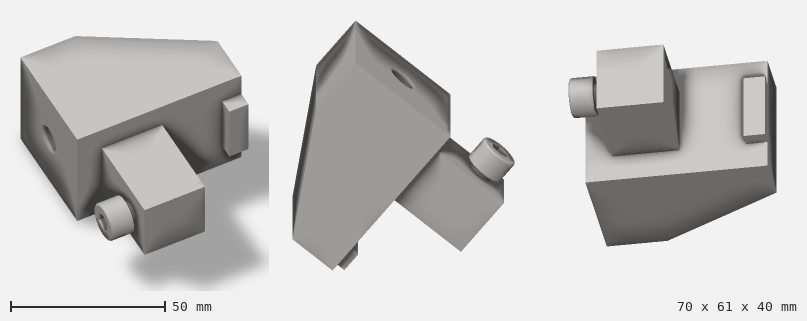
import cadquery as cq
import math

block_width = 40.0
block_length = 1.5 * block_width
block_height = block_width
straight_side_length = block_width / 2
slope_angle = 30.0
slope_inset = (block_length - straight_side_length) * math.tan(math.radians(slope_angle))
mid_height = block_height / 2

overall_width = 70.0
arm_length = overall_width - block_width
arm_section = 22.0
arm_setback = 9.0
tab_reach = 5.0
tab_depth = 7.0
tab_height = arm_section

hole_diameter = 8.5
hole_mouth_diameter = 10.0
hole_mouth_depth = 0.4
hole_depth = 20.0
drill_point_angle = 118.0

screw_x = overall_width - 10.0
shank_diameter = 8.0
head_diameter = 13.0
head_height = shank_diameter
head_gap = 2.0
head_edge_radius = 0.8
shank_length = head_gap + arm_section
seat_y = arm_setback - head_gap
socket_flats = 6.0
socket_corners = socket_flats / math.cos(math.radians(30))
socket_depth = 4.0
socket_point_angle = 120.0


def cone_height(diameter, point_angle):
    """Height of a cone with the given base diameter and full point angle."""
    return diameter / 2 / math.tan(math.radians(point_angle / 2))


def revolved_along_y(profile, x, y):
    """Revolve (radius, depth) points about a line along +Y at (x, y), at mid height."""
    return (
        cq.Workplane("XY")
        .polyline(profile)
        .close()
        .revolve(360, (0, 0), (0, 1))
        .translate((x, y, mid_height))
    )


def make_shank():
    """Plain shank from the screw head to the back of the arm."""
    profile = [
        (0, 0),
        (shank_diameter / 2, 0),
        (shank_diameter / 2, shank_length),
        (0, shank_length),
    ]
    return revolved_along_y(profile, screw_x, seat_y)


def make_drilled_hole():
    """Cutter with a chamfered mouth and a conical bottom."""
    radius = hole_diameter / 2
    profile = [
        (0, 0),
        (hole_mouth_diameter / 2, 0),
        (radius, hole_mouth_depth),
        (radius, hole_depth),
        (0, hole_depth + cone_height(hole_diameter, drill_point_angle)),
    ]
    return revolved_along_y(profile, block_width / 2, 0)


def make_side_box(reach, depth, height, y):
    """Box on the +X side of the block, centred at mid height."""
    return (
        cq.Workplane("XY")
        .box(reach, depth, height, centered=(False, False, True))
        .translate((block_width, y, mid_height))
    )


def make_bracket():
    """Sloped block with its arm and tab, drilled hole and screw hole."""
    outline = [
        (0, 0),
        (block_width, 0),
        (block_width, block_length),
        (slope_inset, block_length),
        (0, straight_side_length),
    ]
    block = cq.Workplane("XY").polyline(outline).close().extrude(block_height)
    arm = make_side_box(arm_length, arm_section, arm_section, arm_setback)
    tab = make_side_box(tab_reach, tab_depth, tab_height, block_length - tab_depth)
    return block.union(arm).union(tab).cut(make_drilled_hole()).cut(make_shank())


def make_socket(front_y):
    """Hexagonal cutter, corners up and down, ending in a conical bottom."""
    full_depth = socket_depth + cone_height(socket_corners, socket_point_angle)
    hexagon = (
        cq.Workplane("XZ")
        .polygon(6, socket_corners)
        .extrude(-full_depth)
        .rotate((0, 0, 0), (0, 1, 0), 90)
        .translate((screw_x, front_y, mid_height))
    )
    profile = [
        (0, 0),
        (socket_corners / 2, 0),
        (socket_corners / 2, socket_depth),
        (0, full_depth),
    ]
    return hexagon.intersect(revolved_along_y(profile, screw_x, front_y))


def make_screw():
    """Cap screw with a rounded front edge and a hexagonal socket."""
    front_y = seat_y - head_height
    head = (
        cq.Workplane("XZ")
        .circle(head_diameter / 2)
        .extrude(head_height)
        .faces("<Y")
        .edges()
        .fillet(head_edge_radius)
        .translate((screw_x, seat_y, mid_height))
    )
    return head.union(make_shank()).cut(make_socket(front_y))


bracket = make_bracket()
screw = make_screw()
result = cq.Compound.makeCompound([bracket.val(), screw.val()])